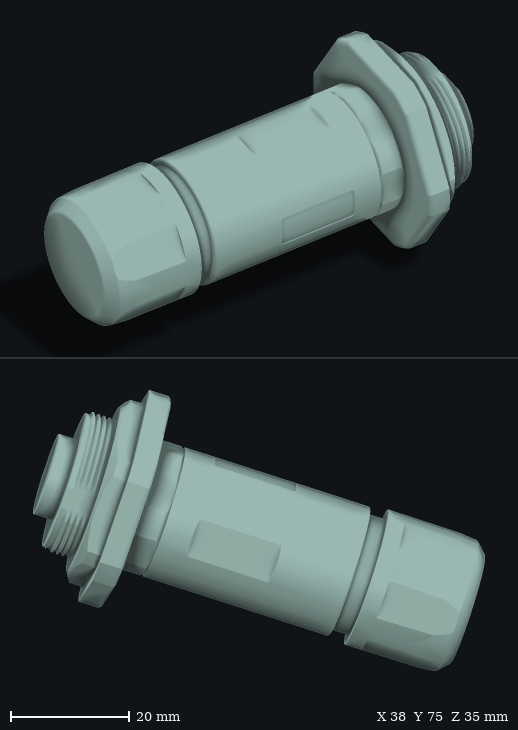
import cadquery as cq
import math

total_length = 75.05

cap_chamfer_end = 2.0
cap_cone_end = 5.1
cap_flat_end = 15.1
cap_end = 18.0
body_start = 21.0
body_end = 54.0
flange_front = 58.9
flange_back = 63.0
nut_back = 66.65
thread_end = 71.8

cap_face_radius = 9.6
cap_edge_radius = 0.75
cap_rim_radius = 11.6
cap_radius = 11.9
cap_collar_radius = 12.0
cap_flat_offset = 11.5
cap_flat_count = 6
throat_radius = 10.3

body_radius = 11.5
body_edge_radius = 0.45
recess_start = 34.4
recess_length = 14.3
body_flat_depth = 0.5
body_flat_ramp = 0.45
label_width = 5.85
label_depth = 0.2
label_corner_radius = 0.45

neck_flat_offset = 10.95
neck_chamfer = 0.6
flange_flat_offset = 17.5
flange_radius = 19.0
flange_edge_radius = 0.9
washer_radius = 15.15
washer_height = 0.3
nut_flat_offset = 15.0
nut_radius = 16.5
nut_chamfer_length = 1.2
nut_face_radius = 14.6

thread_root_radius = 11.85
thread_crest_radius = 12.4
thread_flat_offset = 11.7
thread_start = 66.1
thread_rise = 4.95
thread_turns = 5
thread_pitch = thread_rise / thread_turns
ridge_base_width = 0.9
ridge_crest_width = 0.15
ridge_base_radius = 11.8

plug_radius = 7.1
plug_flat_offset = 6.7

OVERSIZE = 45.0


def around_y(shape, angle):
    """The shape turned about the Y axis by an angle in degrees."""
    return shape.rotate((0, 0, 0), (0, 1, 0), angle)


def turned(profile):
    """Solid of revolution about Y from (radius, y) points."""
    return cq.Workplane("XY").polyline(profile).close().revolve(360, (0, 0, 0), (0, 1, 0))


def cylinder(radius, start, end):
    return turned([(0, start), (radius, start), (radius, end), (0, end)])


def hexagon(flat_offset, start, end, turn=0):
    """Hexagonal bar with flats facing +Z and -Z, turned about Y by the given angle."""
    corner_diameter = 2 * flat_offset / math.cos(math.pi / 6)
    bar = cq.Workplane("XZ", origin=(0, end, 0)).polygon(6, corner_diameter)
    return around_y(bar.extrude(end - start), turn)


def block_above(offset, start, end):
    """Block that removes everything with z above the offset."""
    size = (OVERSIZE, end - start, OVERSIZE)
    return cq.Workplane("XY").box(*size, centered=(True, False, False)).translate((0, start, offset))


def make_cap():
    cap = turned([
        (0, 0),
        (cap_face_radius, 0),
        (cap_rim_radius, cap_chamfer_end),
        (cap_radius, cap_cone_end),
        (cap_collar_radius, cap_end),
        (0, cap_end),
    ])
    cap = cap.edges("%CIRCLE").edges(">>Y[0] or >>Y[1]").fillet(cap_edge_radius)
    flat_cut = block_above(cap_flat_offset, 0, cap_flat_end)
    for index in range(cap_flat_count):
        cap = cap.cut(around_y(flat_cut, 360 / cap_flat_count * index))
    return cap


def make_body():
    body = cylinder(body_radius, body_start, body_end)
    body = body.faces("<Y").edges().fillet(body_edge_radius)
    recess_end = recess_start + recess_length

    floor = body_radius - body_flat_depth
    flat_cut = (
        cq.Workplane("YZ")
        .polyline([
            (recess_start, floor),
            (recess_end, floor),
            (recess_end + body_flat_ramp, body_radius),
            (recess_start - body_flat_ramp, body_radius),
        ])
        .close()
        .extrude(body_radius, both=True)
    )

    label_cut = (
        cq.Workplane("YZ")
        .center(recess_start + recess_length / 2, 0)
        .rect(recess_length, label_width)
        .extrude(OVERSIZE)
        .edges("|X")
        .fillet(label_corner_radius)
        .cut(cylinder(body_radius - label_depth, body_start, body_end))
    )
    for angle in (0, 180):
        body = body.cut(around_y(flat_cut, angle))
        body = body.cut(around_y(label_cut, angle))
    return body


def make_neck():
    blank = cylinder(body_radius, body_end, flange_front).faces("<Y or >Y").edges().chamfer(neck_chamfer)
    return blank.intersect(hexagon(neck_flat_offset, body_end, flange_front, turn=30))


def make_flange():
    flange = cylinder(flange_radius, flange_front, flange_back)
    flange = flange.intersect(hexagon(flange_flat_offset, flange_front, flange_back))
    flange = flange.faces("<Y").edges().fillet(flange_edge_radius)
    return flange.union(cylinder(washer_radius, flange_back, flange_back + washer_height))


def make_nut():
    blank = turned([
        (0, flange_back),
        (nut_radius, flange_back),
        (nut_radius, nut_back - nut_chamfer_length),
        (nut_face_radius, nut_back),
        (0, nut_back),
    ])
    return blank.intersect(hexagon(nut_flat_offset, flange_back, nut_back))


def make_thread():
    core = cylinder(thread_root_radius, nut_back, thread_end)
    helix = cq.Wire.makeHelix(thread_pitch, thread_rise, thread_root_radius)
    ridge = (
        cq.Workplane("XZ")
        .polyline([
            (ridge_base_radius, -ridge_base_width / 2),
            (thread_crest_radius, -ridge_crest_width / 2),
            (thread_crest_radius, ridge_crest_width / 2),
            (ridge_base_radius, ridge_base_width / 2),
        ])
        .close()
        .sweep(cq.Workplane(helix), isFrenet=True)
        .rotate((0, 0, 0), (1, 0, 0), -90)
        .translate((0, thread_start, 0))
    )
    thread = core.union(ridge)
    flat_cut = block_above(thread_flat_offset, nut_back, thread_end)
    for angle in (0, 180):
        thread = thread.cut(around_y(flat_cut, angle))
    return thread


def make_plug():
    plug = cylinder(plug_radius, thread_end, total_length)
    return plug.cut(block_above(plug_flat_offset, thread_end, total_length))


result = (
    make_cap()
    .union(cylinder(throat_radius, cap_end, body_start))
    .union(make_body())
    .union(make_neck())
    .union(make_flange())
    .union(make_nut())
    .union(make_thread())
    .union(make_plug())
)